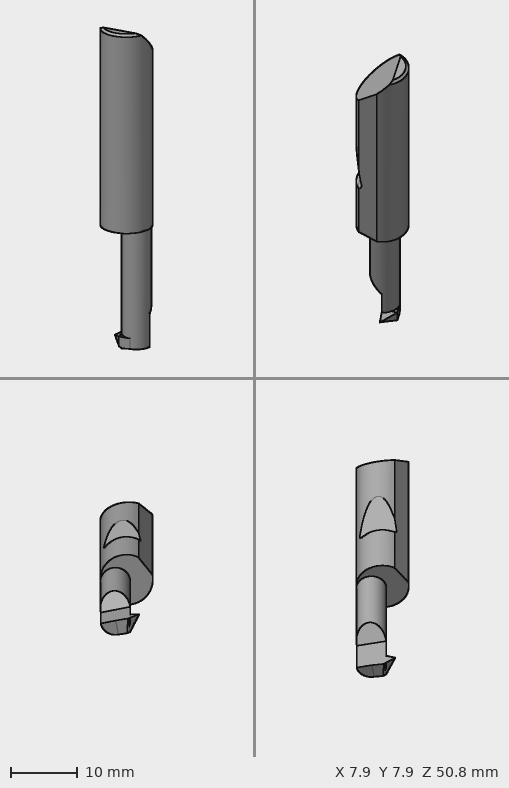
import cadquery as cq
import math

total_length = 50.8
shank_radius = 3.95
shank_bottom = 19.05
margin = 2.55

rim_chamfer_height = 0.35
rim_chamfer_width = 0.45
end_bevel_y = -2.2

flat_edge_y = 3.1

notch_bottom = 27.8
notch_depth = 1.45
notch_angle = 10.0
notch_corner_radius = 0.75

neck_diameter = 4.5
neck_radius = neck_diameter / 2
neck_x = shank_radius - neck_radius
neck_bottom = 0.15
neck_flat_top = 5.5

tip_x = -2.0
tip_z = 1.05
tooth_half_angle = 31.0
tooth_root_x = -0.1
tooth_clearance = 0.35


def extrude_across_x(profile):
    """Extrude a closed YZ profile through the full width of the part."""
    return profile.extrude(shank_radius + margin, both=True)


def make_shank():
    shank = (
        cq.Workplane("XY", origin=(0, 0, shank_bottom))
        .circle(shank_radius)
        .extrude(total_length - shank_bottom)
        .faces(">Z").edges().chamfer(rim_chamfer_height, rim_chamfer_width)
    )
    return shank.cut(end_bevel()).cut(side_flat()).cut(clamping_notch())


def end_bevel():
    reach = shank_radius + margin
    drop = reach - end_bevel_y
    return extrude_across_x(
        cq.Workplane("YZ")
        .moveTo(end_bevel_y - margin, total_length + margin)
        .lineTo(reach, total_length - drop)
        .lineTo(reach, total_length + margin)
        .close()
    )


def side_flat():
    flat_end_x = -math.sqrt(shank_radius**2 - flat_edge_y**2)
    middle = ((flat_end_x - shank_radius) / 2, flat_edge_y / 2)
    distance = math.hypot(*middle)
    direction = math.degrees(math.atan2(middle[1], middle[0]))
    return (
        cq.Workplane("XY")
        .box(margin, 2 * shank_radius, total_length, centered=(False, True, False))
        .translate((distance, 0, 0))
        .rotate((0, 0, 0), (0, 0, 1), direction)
    )


def clamping_notch():
    floor_y = shank_radius - notch_depth
    outer_y = shank_radius + margin
    ramp_length = (outer_y - floor_y) / math.tan(math.radians(notch_angle))
    notch = extrude_across_x(
        cq.Workplane("YZ")
        .moveTo(floor_y, notch_bottom)
        .lineTo(outer_y, notch_bottom)
        .lineTo(outer_y, notch_bottom + ramp_length)
        .close()
    )
    return notch.edges("|X").edges("<Y").fillet(notch_corner_radius)


def make_neck():
    neck = (
        cq.Workplane("XY", origin=(neck_x, 0, neck_bottom))
        .circle(neck_radius)
        .extrude(shank_bottom - neck_bottom)
    )
    half_removal = extrude_across_x(
        cq.Workplane("YZ")
        .moveTo(0, -margin)
        .lineTo(0, neck_flat_top)
        .lineTo(neck_radius + margin, neck_flat_top + neck_radius + margin)
        .lineTo(neck_radius + margin, -margin)
        .close()
    )
    return neck.cut(half_removal)


def tooth_outline(clearance):
    """XZ outline of the tooth, with both flanks pulled in by the clearance."""
    slope = math.tan(math.radians(tooth_half_angle))
    point_x = tip_x + clearance / slope
    top_z = tip_z + slope * (tooth_root_x - point_x)
    bottom_x = point_x + tip_z / slope
    return [
        (point_x, tip_z),
        (tooth_root_x, top_z),
        (neck_x, top_z),
        (neck_x, neck_bottom),
        (bottom_x, 0),
    ]


def make_tooth():
    tooth = (
        cq.Workplane("XZ")
        .polyline(tooth_outline(0)).close()
        .workplane(offset=neck_radius)
        .polyline(tooth_outline(tooth_clearance)).close()
        .loft(ruled=True)
    )
    side_relief = (
        cq.Workplane("XY", origin=(0, 0, -margin))
        .polyline([(tip_x, 0), (tooth_root_x, -neck_radius), (tip_x, -neck_radius)])
        .close()
        .extrude(neck_flat_top + margin)
    )
    return tooth.cut(side_relief)


result = make_shank().union(make_neck()).union(make_tooth())